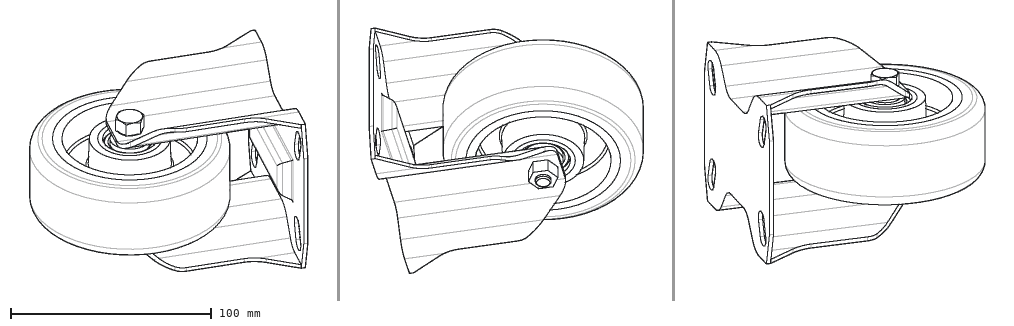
import cadquery as cq
import math


wheel_diameter = 100.0
wheel_radius = wheel_diameter / 2
wheel_width = 40.0
wheel_half_width = wheel_width / 2
shoulder_round = 6.3
shoulder_bevel_radius = 45.8
core_radius = 77.0 / 2
rim_mouth_radius = 33.8
hub_top_radius = 20.2
web_half_thickness = 4.0
draft_angle = 2.0
web_bevel = 1.2

bearing_radius = 32.0 / 2
bearing_width = 10.0
groove_outer_radius = 27.0 / 2
groove_inner_radius = 20.0 / 2
groove_depth = 3.0
shield_outer_radius = 25.2 / 2
shield_inner_radius = 21.8 / 2
shield_depth = 2.0
core_bore_radius = groove_outer_radius

sleeve_radius = 15.0 / 2
bolt_radius = 8.0 / 2
bolt_tip_radius = 6.7 / 2
hex_across_corners = 15.0
head_height = 7.5
head_bevel_height = 0.6
washer_face_radius = 6.4
washer_face_height = 0.4
nut_height = 6.9
bolt_protrusion = 2.0
bolt_tip_bevel = 0.9

sheet = 2.2
overall_length = 128.0
plate_back = overall_length - wheel_radius
plate_front = plate_back - sheet
bracket_half_height = 85.0 / 2
plate_half_width = wheel_radius
plate_end_half_width = 45.3
plate_corner_height = 25.1
leg_outer = 25.5
leg_inner = leg_outer - sheet
leg_half_width = 32.3
leg_taper_corner = 55.8
leg_taper_round = 19.2
leg_slope_corner = 17.2
leg_end = -9.2
leg_end_half_width = 14.6
leg_corner_round = 10.0
flat_half_width = 9.6
bend_inner_radius = 10.0
bend_outer_radius = bend_inner_radius + sheet
bend_angle = math.radians(52)

slot_width = 9.0
slot_outer_end = (40.0, 30.0)
slot_inner_end = (37.4, 21.9)

boss_length = 59.6
boss_width = 23.8
boss_height = 6.5
boss_taper = 27.0
boss_round = 3.6
boss_root_fillet = 1.0

selection_margin = 0.6


def under_leg(depth, length):
    """Block from the plate's back toward -Y, bounded in Z by the leg faces `depth` under the outer ones."""
    hollow_radius = bend_inner_radius + depth
    crown_radius = bend_outer_radius - depth
    radius_sum = bend_inner_radius + bend_outer_radius
    slope_rise = bracket_half_height - leg_outer - radius_sum * (1 - math.cos(bend_angle))
    slope_run = slope_rise / math.tan(bend_angle)
    hollow_x = flat_half_width
    hollow_z = leg_outer + bend_inner_radius
    crown_x = hollow_x + slope_run + radius_sum * math.sin(bend_angle)
    crown_z = bracket_half_height - bend_outer_radius

    def on_hollow(angle):
        return hollow_x + hollow_radius * math.sin(angle), hollow_z - hollow_radius * math.cos(angle)

    def on_crown(angle):
        return crown_x - crown_radius * math.sin(angle), crown_z + crown_radius * math.cos(angle)

    quarter = (
        cq.Workplane("XZ", origin=(0, plate_back, 0))
        .lineTo(plate_half_width, 0)
        .lineTo(plate_half_width, bracket_half_height - depth)
        .lineTo(*on_crown(0))
        .threePointArc(on_crown(bend_angle / 2), on_crown(bend_angle))
        .lineTo(*on_hollow(bend_angle))
        .threePointArc(on_hollow(bend_angle / 2), on_hollow(0))
        .lineTo(0, leg_outer - depth)
        .close()
        .extrude(length)
    )
    half = quarter.union(quarter.mirror("YZ"))
    return half.union(half.mirror("XY"))


def leg_silhouette():
    """Outline of both legs along Z: tapered below the plate, then parallel, then narrowed to the end."""
    right_side = [
        (plate_end_half_width, plate_back),
        (plate_end_half_width, plate_front),
        (leg_half_width, leg_taper_corner),
        (leg_half_width, leg_slope_corner),
        (leg_end_half_width, leg_end),
    ]
    left_side = [(-x, y) for x, y in reversed(right_side)]
    block = (
        cq.Workplane("XY", origin=(0, 0, -bracket_half_height))
        .polyline(right_side + left_side)
        .close()
        .extrude(2 * bracket_half_height)
    )
    end_corners = cq.selectors.BoxSelector(
        (-plate_half_width, leg_end - selection_margin, -bracket_half_height),
        (plate_half_width, leg_slope_corner + selection_margin, bracket_half_height),
    )
    block = block.edges("|Z").edges(end_corners).fillet(leg_corner_round)
    taper_corners = cq.selectors.BoxSelector(
        (-plate_half_width, leg_taper_corner - selection_margin, -bracket_half_height),
        (plate_half_width, leg_taper_corner + selection_margin, bracket_half_height),
    )
    return block.edges("|Z").edges(taper_corners).fillet(leg_taper_round)


def plate_outline():
    """Eight-sided mounting plate, before its waists are trimmed to the bends of the legs."""
    right_side = [
        (plate_end_half_width, -bracket_half_height),
        (plate_half_width, -plate_corner_height),
        (plate_half_width, plate_corner_height),
        (plate_end_half_width, bracket_half_height),
    ]
    left_side = [(-x, z) for x, z in reversed(right_side)]
    return (
        cq.Workplane("XZ", origin=(0, plate_back, 0))
        .polyline(right_side + left_side)
        .close()
        .extrude(sheet)
    )


def slot_cutter(side, end):
    """Leaning slot in one corner of the plate."""
    dx = slot_outer_end[0] - slot_inner_end[0]
    dz = slot_outer_end[1] - slot_inner_end[1]
    length = math.hypot(dx, dz) + slot_width
    lean = math.degrees(math.atan2(end * dz, side * dx))
    middle_x = side * (slot_outer_end[0] + slot_inner_end[0]) / 2
    middle_z = end * (slot_outer_end[1] + slot_inner_end[1]) / 2
    return (
        cq.Workplane("XZ", origin=(0, plate_back, 0))
        .center(middle_x, middle_z)
        .slot2D(length, slot_width, lean)
        .extrude(sheet)
    )


def stiffening_boss():
    """Raised pad with sloping flanks on the wheel side of the plate."""
    return (
        cq.Workplane("XZ", origin=(0, plate_front, 0))
        .rect(boss_length, boss_width)
        .extrude(boss_height, taper=boss_taper)
        .faces("<Y")
        .edges()
        .fillet(boss_round)
    )


def make_bracket():
    """Mounting plate and both bent legs, one solid."""
    reach = plate_back - leg_end
    legs = under_leg(0, reach).cut(under_leg(sheet, reach)).intersect(leg_silhouette())
    plate = plate_outline().intersect(under_leg(0, sheet)).union(stiffening_boss())
    boss_root = cq.selectors.BoxSelector(
        (-boss_length / 2 - selection_margin, plate_front - selection_margin, -boss_width),
        (boss_length / 2 + selection_margin, plate_front + selection_margin, boss_width),
    )
    plate = plate.edges(boss_root).fillet(boss_root_fillet)
    bracket = plate.union(legs)
    for side in (-1, 1):
        for end in (-1, 1):
            bracket = bracket.cut(slot_cutter(side, end))
    return bracket.cut(disc(bolt_radius, -leg_outer, leg_outer))


def disc(radius, bottom, top):
    """Cylinder about the wheel axis."""
    return cq.Workplane("XY", origin=(0, 0, bottom)).circle(radius).extrude(top - bottom)


def turned(profile):
    """Solid of revolution about the wheel axis from (radius, z) points."""
    return cq.Workplane("XZ").polyline(profile).close().revolve(360, (0, 0), (0, 1))


def make_tyre():
    """Tyre ring: on each side a flat face, a narrow bevel and a round shoulder running into the tread."""
    face_radius = wheel_radius - shoulder_round
    tread_half_width = wheel_half_width - shoulder_round
    bevel_angle = math.acos((shoulder_bevel_radius - face_radius) / shoulder_round)

    def on_shoulder(side, angle):
        return (
            face_radius + shoulder_round * math.cos(angle),
            side * (tread_half_width + shoulder_round * math.sin(angle)),
        )

    return (
        cq.Workplane("XZ")
        .moveTo(core_radius, -wheel_half_width)
        .lineTo(face_radius, -wheel_half_width)
        .lineTo(*on_shoulder(-1, bevel_angle))
        .threePointArc(on_shoulder(-1, bevel_angle / 2), on_shoulder(-1, 0))
        .lineTo(*on_shoulder(1, 0))
        .threePointArc(on_shoulder(1, bevel_angle / 2), on_shoulder(1, bevel_angle))
        .lineTo(face_radius, wheel_half_width)
        .lineTo(core_radius, wheel_half_width)
        .close()
        .revolve(360, (0, 0), (0, 1))
    )


def web_recess():
    """Drafted annular recess between hub and rim on the upper side, bevelled at its floor."""
    bevel_top = web_half_thickness + web_bevel
    draft = (wheel_half_width - bevel_top) * math.tan(math.radians(draft_angle))
    rim_foot_radius = rim_mouth_radius - draft
    hub_foot_radius = hub_top_radius + draft
    return turned(
        [
            (hub_top_radius, wheel_half_width),
            (rim_mouth_radius, wheel_half_width),
            (rim_foot_radius, bevel_top),
            (rim_foot_radius - web_bevel, web_half_thickness),
            (hub_foot_radius + web_bevel, web_half_thickness),
            (hub_foot_radius, bevel_top),
        ]
    )


def make_core():
    """Wheel core with hub, web and rim, bored for the bearings."""
    core = disc(core_radius, -wheel_half_width, wheel_half_width)
    recess = web_recess()
    seat = disc(bearing_radius, wheel_half_width - bearing_width, wheel_half_width)
    core = core.cut(recess).cut(recess.mirror("XY"))
    core = core.cut(seat).cut(seat.mirror("XY"))
    return core.cut(disc(core_bore_radius, -wheel_half_width, wheel_half_width))


def make_bearing(side):
    """Bearing flush with one wheel face; a bevelled shield lies in the groove between its rings."""
    face = wheel_half_width
    floor = face - groove_depth
    shield = face - shield_depth
    back = face - bearing_width
    bearing = turned(
        [
            (sleeve_radius, back),
            (bearing_radius, back),
            (bearing_radius, face),
            (groove_outer_radius, face),
            (groove_outer_radius, floor),
            (shield_outer_radius, shield),
            (shield_inner_radius, shield),
            (groove_inner_radius, floor),
            (groove_inner_radius, face),
            (sleeve_radius, face),
        ]
    )
    return bearing if side > 0 else bearing.mirror("XY")


def make_sleeve():
    """Spacer tube through both bearings, clamped between the legs."""
    return disc(sleeve_radius, -leg_inner, leg_inner).cut(disc(bolt_radius, -leg_inner, leg_inner))


def hexagon(bottom, top):
    """Hexagonal prism along Z with two flats facing -X and +X."""
    return (
        cq.Workplane("XY", origin=(0, 0, bottom))
        .transformed(rotate=(0, 0, 30))
        .polygon(6, hex_across_corners)
        .extrude(top - bottom)
    )


def bolt_head():
    """Hexagon head on a round washer face, its upper corners bevelled."""
    seat = leg_outer + washer_face_height
    top = leg_outer + head_height
    corner_radius = hex_across_corners / 2
    bevel_cone = turned(
        [
            (0, seat),
            (corner_radius, seat),
            (corner_radius, top - head_bevel_height),
            (washer_face_radius, top),
            (0, top),
        ]
    )
    washer_face = disc(washer_face_radius, leg_outer, seat)
    return hexagon(seat, top).intersect(bevel_cone).union(washer_face)


def make_bolt():
    """Hexagon bolt: head on the upper leg, shank through the sleeve, bevelled tip below the nut."""
    tip = -leg_outer - nut_height - bolt_protrusion
    shank = turned(
        [
            (0, tip),
            (bolt_tip_radius, tip),
            (bolt_radius, tip + bolt_tip_bevel),
            (bolt_radius, leg_outer),
            (0, leg_outer),
        ]
    )
    return shank.union(bolt_head())


def make_nut():
    """Hexagon nut under the lower leg."""
    bottom = -leg_outer - nut_height
    return hexagon(bottom, -leg_outer).cut(disc(bolt_radius, bottom, -leg_outer))


bracket = make_bracket()
tyre = make_tyre()
core = make_core()
bearings = [make_bearing(side) for side in (-1, 1)]
sleeve = make_sleeve()
bolt = make_bolt()
nut = make_nut()

result = cq.Compound.makeCompound(
    [
        bracket.val(),
        tyre.val(),
        core.val(),
        *[bearing.val() for bearing in bearings],
        sleeve.val(),
        bolt.val(),
        nut.val(),
    ]
)